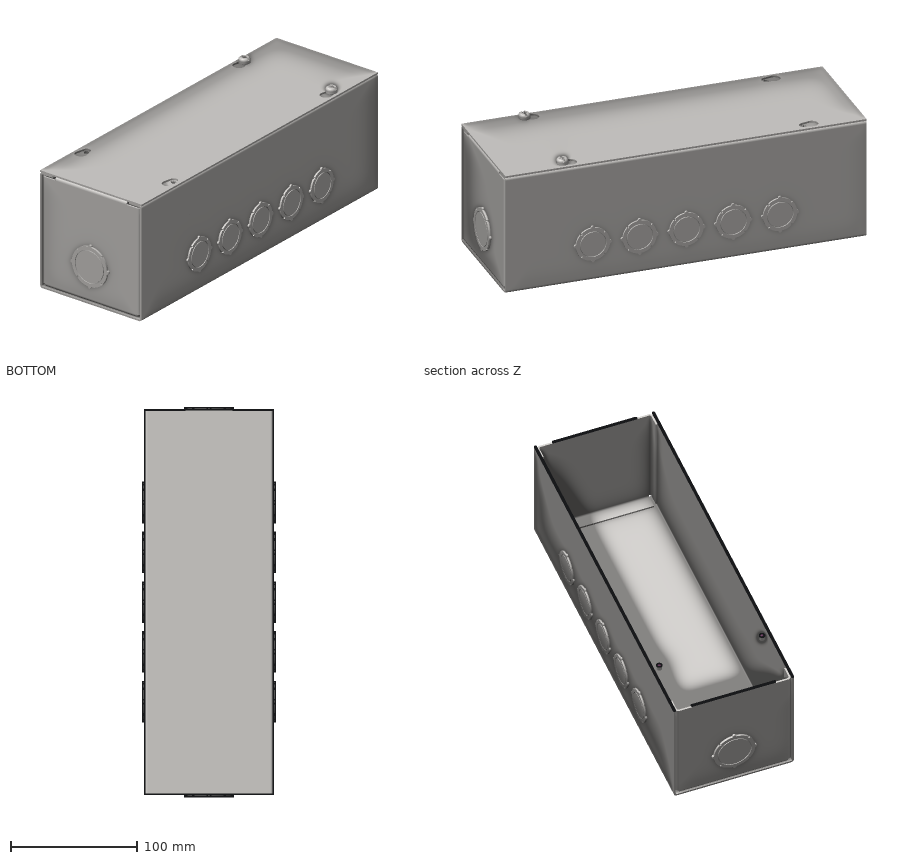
import cadquery as cq
import math

sheet = 1.5
side_knockout_rise = 1.5
end_knockout_rise = 2.0

overall_length = 308.5
overall_width = 105.2
overall_height = 108.0
box_length = overall_length - 2 * end_knockout_rise
box_width = overall_width - 2 * side_knockout_rise
cover_top = 103.3
cover_bottom = cover_top - sheet

trough_bend_radius = 2.5
top_flange_width = 12.5
inner_half_width = box_width / 2 - sheet
flange_gap_half_width = box_width / 2 - top_flange_width

panel_clearance = 0.3
panel_half_width = inner_half_width - panel_clearance
panel_bottom = sheet + panel_clearance
panel_bend_radius = 3.0
panel_flange_depth = 12.3
panel_top_flange_width = 71.5

knockout_tab_radius = 1.5
knockout_notch_width = 1.2
knockout_notch_depth = 1.2
knockout_groove_width = 0.5
knockout_groove_depth = 1.0
side_knockout_count = 5
side_knockout_pitch = 39.5
side_knockout_height = 32.0
side_knockout_diameter = 28.7
side_knockout_groove_diameter = 22.0
end_knockout_height = 34.0
end_knockout_diameter = 35.2
end_knockout_groove_diameter = 28.5

screw_x = 43.8
screw_y = 101.8
screw_hole_diameter = 4.3
screw_hole_mouth_diameter = 5.0
screw_hole_mouth_depth = 0.3
keyhole_slot_diameter = 7.0
keyhole_entry_diameter = 10.2
keyhole_travel = 7.0
screw_head_diameter = 9.5
screw_head_flat_diameter = 7.0
screw_rim_height = 2.0
screw_drive_depth = 2.2
screw_slot_width = 2.0
screw_recess_side = 3.0
screw_shank_length = 7.7


def knockout(outer_diameter, groove_diameter, rise):
    """Raised disc on the XY plane with four tabs, four edge notches and a ring groove."""
    outer_radius = outer_diameter / 2
    disc = cq.Workplane("XY").circle(outer_radius).extrude(rise)
    tabs = (
        cq.Workplane("XY")
        .polarArray(outer_radius, 0, 360, 4)
        .circle(knockout_tab_radius)
        .extrude(rise)
    )
    notches = (
        cq.Workplane("XY")
        .polarArray(outer_radius, 45, 360, 4)
        .rect(2 * knockout_notch_depth, knockout_notch_width)
        .extrude(rise)
    )
    groove = (
        cq.Workplane("XY", origin=(0, 0, rise))
        .circle(groove_diameter / 2 + knockout_groove_width / 2)
        .circle(groove_diameter / 2 - knockout_groove_width / 2)
        .extrude(-knockout_groove_depth)
    )
    return disc.union(tabs).cut(notches).cut(groove)


def make_trough():
    outside = (
        cq.Workplane("XY")
        .box(box_width, box_length, cover_bottom, centered=(True, True, False))
        .edges("|Y")
        .fillet(trough_bend_radius)
    )
    inside = (
        cq.Workplane("XY", origin=(0, 0, sheet))
        .box(2 * inner_half_width, box_length, cover_bottom - 2 * sheet, centered=(True, True, False))
        .edges("|Y")
        .fillet(trough_bend_radius - sheet)
    )
    opening = cq.Workplane("XY", origin=(0, 0, cover_bottom / 2)).box(
        2 * flange_gap_half_width, box_length, cover_bottom, centered=(True, True, False)
    )
    trough = outside.cut(inside).cut(opening)

    screw_points = (
        cq.Workplane("XY", origin=(0, 0, cover_bottom))
        .rect(2 * screw_x, 2 * screw_y, forConstruction=True)
        .vertices()
    )
    trough = trough.cut(screw_points.circle(screw_hole_diameter / 2).extrude(-sheet))
    trough = trough.cut(screw_points.circle(screw_hole_mouth_diameter / 2).extrude(-screw_hole_mouth_depth))

    side_knockout = knockout(side_knockout_diameter, side_knockout_groove_diameter, side_knockout_rise)
    for side in (-1, 1):
        outward = side_knockout.rotate((0, 0, 0), (0, 1, 0), side * 90)
        for index in range(side_knockout_count):
            y = (index - (side_knockout_count - 1) / 2) * side_knockout_pitch
            trough = trough.union(outward.translate((side * box_width / 2, y, side_knockout_height)))
    return trough


def make_end_panel():
    """Panel for the -Y end, with its corners cut away so that the flanges can bend."""
    blank_height = cover_bottom - panel_bottom
    outside = (
        cq.Workplane("XY", origin=(0, -box_length / 2, panel_bottom))
        .box(2 * panel_half_width, panel_flange_depth, blank_height, centered=(True, False, False))
        .faces("<Y")
        .edges()
        .fillet(panel_bend_radius)
    )
    inside = (
        cq.Workplane("XY", origin=(0, -box_length / 2 + sheet, panel_bottom + sheet))
        .box(
            2 * (panel_half_width - sheet),
            panel_flange_depth,
            blank_height - 2 * sheet,
            centered=(True, False, False),
        )
        .faces("<Y")
        .edges()
        .fillet(panel_bend_radius - sheet)
    )
    panel = outside.cut(inside)

    top_relief_width = panel_half_width - panel_top_flange_width / 2
    bottom_relief_z = panel_bottom + panel_bend_radius / 2
    top_relief_z = cover_bottom - panel_bend_radius / 2
    for side in (-1, 1):
        for width, z in ((panel_bend_radius, bottom_relief_z), (top_relief_width, top_relief_z)):
            relief = cq.Workplane(
                "XY", origin=(side * (panel_half_width - width / 2), -box_length / 2, z)
            ).box(width, 2 * panel_flange_depth, panel_bend_radius)
            panel = panel.cut(relief)

    boss = knockout(end_knockout_diameter, end_knockout_groove_diameter, end_knockout_rise)
    outward = boss.rotate((0, 0, 0), (1, 0, 0), 90)
    return panel.union(outward.translate((0, -box_length / 2, end_knockout_height)))


def keyhole_cutter():
    """Slot end at the origin, widening along tangent lines to the entry hole on its -Y side."""
    slot_radius = keyhole_slot_diameter / 2
    entry_radius = keyhole_entry_diameter / 2
    tangent_sine = (entry_radius - slot_radius) / keyhole_travel
    tangent_cosine = math.sqrt(1 - tangent_sine**2)
    slot_point = (slot_radius * tangent_cosine, slot_radius * tangent_sine)
    entry_point = (entry_radius * tangent_cosine, entry_radius * tangent_sine - keyhole_travel)
    return (
        cq.Workplane("XY", origin=(0, 0, cover_bottom))
        .moveTo(*slot_point)
        .threePointArc((0, slot_radius), (-slot_point[0], slot_point[1]))
        .lineTo(-entry_point[0], entry_point[1])
        .threePointArc((0, -keyhole_travel - entry_radius), entry_point)
        .close()
        .extrude(sheet)
    )


def make_cover():
    cover = cq.Workplane("XY", origin=(0, 0, cover_bottom)).box(
        box_width, box_length, sheet, centered=(True, True, False)
    )
    for x in (-screw_x, screw_x):
        for y in (-screw_y, screw_y):
            cover = cover.cut(keyhole_cutter().translate((x, y, 0)))
    return cover


def make_screw():
    """Domed screw standing on the cover, with a slot and a square recess turned 45 degrees."""
    head_radius = screw_head_diameter / 2
    flat_radius = screw_head_flat_diameter / 2
    rim_top = cover_top + screw_rim_height
    dome_height = overall_height - rim_top
    dome_width = head_radius - flat_radius
    dome_middle = (
        flat_radius + dome_width * math.cos(math.pi / 4),
        rim_top + dome_height * math.sin(math.pi / 4),
    )
    head = (
        cq.Workplane("XZ")
        .moveTo(0, cover_top)
        .lineTo(head_radius, cover_top)
        .lineTo(head_radius, rim_top)
        .threePointArc(dome_middle, (flat_radius, overall_height))
        .lineTo(0, overall_height)
        .close()
        .revolve(360, (0, 0, 0), (0, 1, 0))
    )
    shank = (
        cq.Workplane("XY", origin=(0, 0, cover_top))
        .circle(screw_hole_diameter / 2)
        .extrude(-screw_shank_length)
    )
    top_plane = cq.Workplane("XY", origin=(0, 0, overall_height))
    slot = top_plane.rect(screw_head_diameter, screw_slot_width).extrude(-screw_drive_depth)
    recess = (
        top_plane.transformed(rotate=(0, 0, 45))
        .rect(screw_recess_side, screw_recess_side)
        .extrude(-screw_drive_depth)
    )
    return head.union(shank).cut(slot).cut(recess)


trough = make_trough()
cover = make_cover()
front_panel = make_end_panel()
end_panels = [front_panel, front_panel.mirror("XZ")]
screws = [make_screw().translate((x, screw_y, 0)) for x in (-screw_x, screw_x)]

result = cq.Compound.makeCompound(
    [trough.val(), cover.val()] + [body.val() for body in end_panels + screws]
)